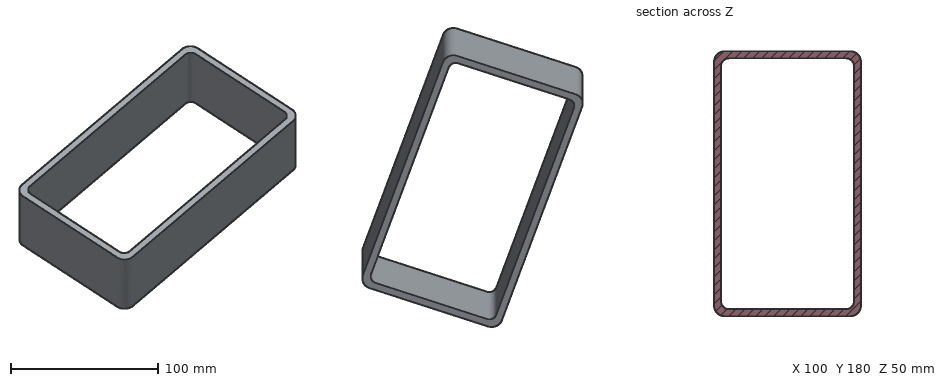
import cadquery as cq

width = 100.0
length = 180.0
height = 50.0

wall = 5.0
outer_corner_radius = 7.5
inner_corner_radius = 5.0


def rounded_block(size_x, size_y, corner_radius):
    """Block of the full height with rounded vertical edges, standing on Z = 0."""
    block = cq.Workplane("XY").rect(size_x, size_y).extrude(height)
    return block.edges("|Z").fillet(corner_radius)


outer_body = rounded_block(width, length, outer_corner_radius)
opening = rounded_block(width - 2 * wall, length - 2 * wall, inner_corner_radius)

result = outer_body.cut(opening)